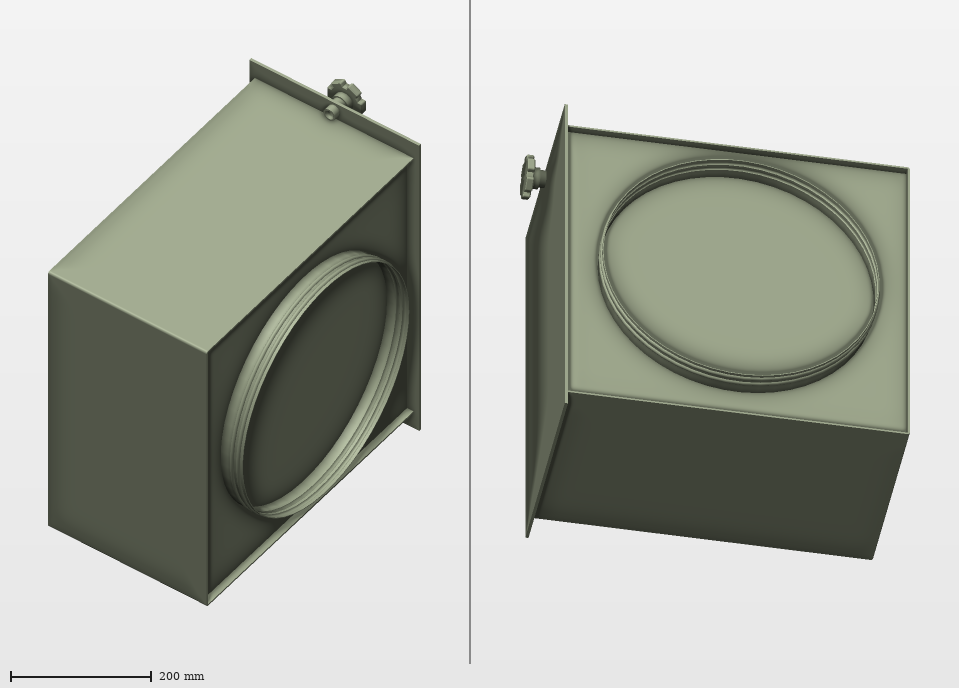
import cadquery as cq


housing_width = 280.0
housing_height = 499.5
housing_depth = 499.0
sheet = 3.0
bend_radius = 4.0
side_recess = 11.5

flange_thickness = 2.5

plate_width = 299.5
plate_height = 559.5
plate_thickness = 2.5

overall_width = 334.0
collar_radius = 200.5
collar_wall = 1.0
rib_height = 2.5
rib_width = 7.0
rib_starts = (4.5, 15.5)

handle_z = 265.0
bore_radius = 5.0
bore_chamfer = 2.5
boss_radius = 12.5
tip_radius = 10.5
tip_length = 12.0
hub_radius = 15.5
hub_length = 10.5
boss_gap = 9.0
knob_thickness = 11.0
knob_radius = 31.0
core_radius = 26.0
lobe_count = 6
lobe_width = 21.0
lobe_corner_radius = 3.0
knob_front_chamfer = 2.0
knob_back_chamfer = 1.0

wall_x = housing_width / 2 - side_recess
flange_front = -flange_thickness
boss_end = plate_thickness + boss_gap
hub_end = boss_end + hub_length


def disc(radius, y_start, length):
    """Cylinder along +Y on the handle axis."""
    plane = cq.Workplane("XZ", origin=(0, y_start, handle_z))
    return plane.circle(radius).extrude(-length)


def rear_block(width, y_start, length, height):
    """Box centred on X and Z that reaches from y_start toward +Y."""
    block = cq.Workplane("XY").box(width, length, height, centered=(True, False, True))
    return block.translate((0, y_start, 0))


def make_housing():
    body = rear_block(housing_width, -housing_depth, housing_depth, housing_height)
    body = body.edges("<Y and |X").fillet(bend_radius)
    pocket_depth = housing_depth - sheet
    pocket_height = housing_height - 2 * sheet
    pocket = rear_block(side_recess, -pocket_depth, pocket_depth, pocket_height)
    pocket = pocket.edges("<Y and |X").fillet(bend_radius - sheet)
    for side in (-1, 1):
        body = body.cut(pocket.translate((side * (wall_x + side_recess / 2), 0, 0)))
    flange = rear_block(plate_width, flange_front, flange_thickness, plate_height)
    return body.union(flange).cut(disc(boss_radius, flange_front, flange_thickness))


def make_plate():
    plate = rear_block(plate_width, 0, plate_thickness, plate_height)
    return plate.cut(disc(boss_radius, 0, plate_thickness))


def collar_solid(side, base_radius):
    """Solid of revolution about the X axis whose outline carries two rounded ribs."""
    open_end = side * overall_width / 2
    wall = side * wall_x
    profile = cq.Workplane("XY").moveTo(wall, 0).lineTo(open_end, 0).lineTo(open_end, base_radius)
    for start in rib_starts:
        rib_outer = open_end - side * start
        rib_middle = rib_outer - side * rib_width / 2
        rib_inner = rib_outer - side * rib_width
        profile = profile.lineTo(rib_outer, base_radius)
        profile = profile.threePointArc((rib_middle, base_radius + rib_height), (rib_inner, base_radius))
    profile = profile.lineTo(wall, base_radius).close()
    return profile.revolve(360, (0, 0, 0), (1, 0, 0))


def make_collar(side):
    """Thin pipe stub whose ribs are pressed outward, so they show inside as grooves."""
    collar = collar_solid(side, collar_radius).cut(collar_solid(side, collar_radius - collar_wall))
    return collar.translate((0, -housing_depth / 2, 0))


def make_bushing():
    tip_end = flange_front - tip_length
    boss = disc(boss_radius, flange_front, boss_end - flange_front)
    bushing = boss.union(disc(tip_radius, tip_end, tip_length))
    bushing = bushing.cut(disc(bore_radius, tip_end, boss_end - tip_end))
    return bushing.faces("<Y").edges(cq.selectors.RadiusNthSelector(0)).chamfer(bore_chamfer)


def make_lobe(angle):
    """Square-ended arm with rounded corners, reaching out from the handle axis along +X, then turned."""
    lobe = (
        cq.Workplane("XY")
        .box(knob_radius, knob_thickness, lobe_width, centered=(False, False, True))
        .edges(">X and |Y").fillet(lobe_corner_radius)
        .rotate((0, 0, 0), (0, 1, 0), angle)
    )
    return lobe.translate((0, hub_end, handle_z))


def make_knob():
    knob = disc(core_radius, hub_end, knob_thickness)
    for index in range(lobe_count):
        knob = knob.union(make_lobe(index * 360 / lobe_count))
    knob = knob.faces("<Y").chamfer(knob_front_chamfer)
    knob = knob.faces(">Y").chamfer(knob_back_chamfer)
    knob = knob.union(disc(hub_radius, boss_end, hub_length))
    return knob.cut(disc(bore_radius, boss_end, hub_length + knob_thickness))


housing = make_housing()
plate = make_plate()
collars = [make_collar(side) for side in (-1, 1)]
bushing = make_bushing()
knob = make_knob()

result = cq.Compound.makeCompound(
    [housing.val(), plate.val(), *[collar.val() for collar in collars], bushing.val(), knob.val()]
)